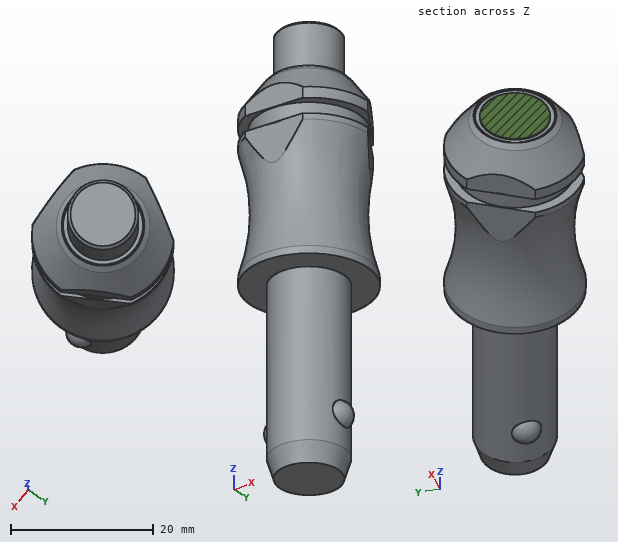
import cadquery as cq
import math

total_height = 70.1

pin_radius = 5.95
tip_radius = 5.0
tip_height = 3.15

ball_radius = 2.25
ball_offset = 5.0
ball_z = 8.55

handle_diameter = 20.0
handle_radius = handle_diameter / 2
waist_radius = 8.35
handle_bottom = 30.55
lower_rim_height = 1.25
upper_rim_height = 0.9
upper_rim_top = 52.8
waist_bottom = handle_bottom + lower_rim_height
waist_top = upper_rim_top - upper_rim_height
waist_middle = (waist_bottom + waist_top) / 2

waist_depth = handle_radius - waist_radius
waist_half_height = (waist_top - waist_bottom) / 2
waist_arc_radius = (waist_half_height**2 + waist_depth**2) / (2 * waist_depth)
waist_half_angle = math.asin(waist_half_height / waist_arc_radius)

groove_radius = 8.55
groove_height = 2.45
cap_bottom = upper_rim_top + groove_height
cap_rim_height = 1.75
cap_rim_top = cap_bottom + cap_rim_height
cone_top_radius = 6.6
cone_top = 61.75
cap_top_radius = 5.8
cap_top = cone_top + (cone_top_radius - cap_top_radius)

recess_radius = 5.6
recess_depth = 0.2

button_radius = 5.0
button_chamfer = 0.4

flat_count = 3
first_flat_angle = -90.0
flat_distance = 8.7


def waist_point(angle):
    """Point on the waist arc, at an angle in radians from its narrowest place."""
    return (
        waist_radius + waist_arc_radius * (1 - math.cos(angle)),
        waist_middle + waist_arc_radius * math.sin(angle),
    )


def make_body():
    """Pin, handle, cap and button as one revolved half profile."""
    profile = (
        cq.Workplane("XZ")
        .lineTo(tip_radius, 0)
        .lineTo(pin_radius, tip_height)
        .lineTo(pin_radius, handle_bottom)
        .lineTo(handle_radius, handle_bottom)
        .lineTo(handle_radius, waist_bottom)
        .threePointArc(waist_point(-waist_half_angle / 2), waist_point(0))
        .threePointArc(waist_point(waist_half_angle / 2), (handle_radius, waist_top))
        .lineTo(handle_radius, upper_rim_top)
        .lineTo(groove_radius, upper_rim_top)
        .lineTo(groove_radius, cap_bottom)
        .lineTo(handle_radius, cap_bottom)
        .lineTo(handle_radius, cap_rim_top)
        .lineTo(cone_top_radius, cone_top)
        .lineTo(cap_top_radius, cap_top)
        .lineTo(recess_radius, cap_top)
        .lineTo(recess_radius, cap_top - recess_depth)
        .lineTo(button_radius, cap_top - recess_depth)
        .lineTo(button_radius, total_height - button_chamfer)
        .lineTo(button_radius - button_chamfer, total_height)
        .lineTo(0, total_height)
        .close()
    )
    return profile.revolve(360, (0, 0), (0, 1))


def cut_flats(body):
    """Cut evenly spaced vertical flats from the waist up to the cap."""
    cutter = cq.Workplane("XY").box(
        handle_radius,
        2 * handle_radius,
        total_height - waist_middle,
        centered=(False, True, False),
    )
    cutter = cutter.translate((flat_distance, 0, waist_middle))
    for index in range(flat_count):
        angle = first_flat_angle + index * 360 / flat_count
        body = body.cut(cutter.rotate((0, 0, 0), (0, 0, 1), angle))
    return body


def add_balls(body):
    """Add the two balls standing out of the pin along X."""
    for side in (-1, 1):
        ball = cq.Workplane("XY").sphere(ball_radius)
        body = body.union(ball.translate((side * ball_offset, 0, ball_z)))
    return body


result = add_balls(cut_flats(make_body()))